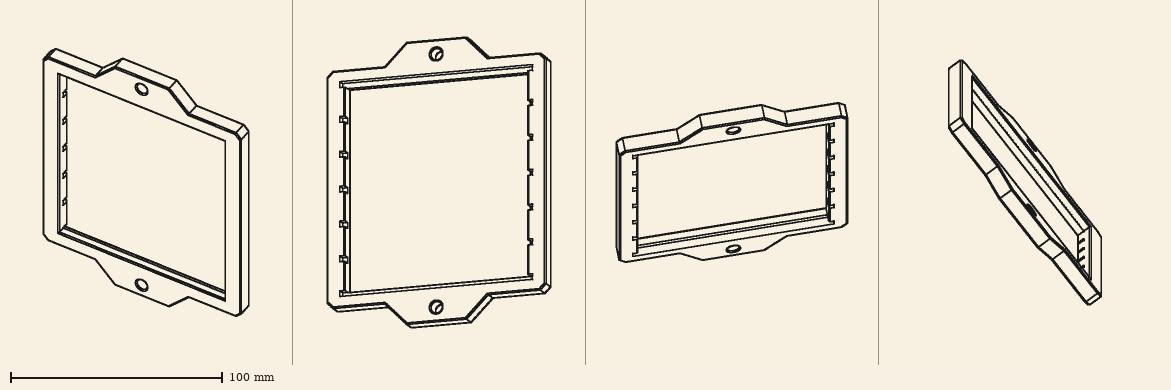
import cadquery as cq

FRAME_WIDTH = 110.0
TOTAL_HEIGHT = 138.0
THICKNESS = 8.0
CORNER_CUT = 2.93
EDGE_CHAMFER = 0.62

TAB_HEIGHT = 11.0
TAB_TIP_WIDTH = 30.0
TAB_ROOT_WIDTH = TAB_TIP_WIDTH + 2 * TAB_HEIGHT
FRAME_HEIGHT = TOTAL_HEIGHT - 2 * TAB_HEIGHT

SIDE_RAIL = 9.1
END_RAIL = 8.1
OPENING_WIDTH = FRAME_WIDTH - 2 * SIDE_RAIL
OPENING_HEIGHT = FRAME_HEIGHT - 2 * END_RAIL

HOLE_DIAMETER = 5.6
HOLE_HEIGHT = 61.9

GROOVE_COUNT = 7
GROOVE_PITCH = 17.05
GROOVE_HEIGHT = 2.8
GROOVE_DEPTH = THICKNESS / 2
GROOVE_END_LENGTH = 2.5
GROOVE_LENGTH = OPENING_WIDTH + 2 * GROOVE_END_LENGTH


def mirrored_outline(quarter):
    """Complete the upper right quarter of an outline by mirroring it in X and Z."""
    upper = quarter + [(-x, z) for x, z in reversed(quarter)]
    return upper + [(-x, -z) for x, z in upper]


def make_plate():
    half_width = FRAME_WIDTH / 2
    half_height = FRAME_HEIGHT / 2
    quarter = [
        (half_width, half_height - CORNER_CUT),
        (half_width - CORNER_CUT, half_height),
        (TAB_ROOT_WIDTH / 2, half_height),
        (TAB_TIP_WIDTH / 2, TOTAL_HEIGHT / 2),
    ]
    plate = cq.Workplane("XZ").polyline(mirrored_outline(quarter)).close()
    return plate.extrude(THICKNESS / 2, both=True)


def make_opening():
    return cq.Workplane("XY").box(OPENING_WIDTH, THICKNESS, OPENING_HEIGHT)


def make_screw_holes():
    centres = [(0, HOLE_HEIGHT), (0, -HOLE_HEIGHT)]
    holes = cq.Workplane("XZ").pushPoints(centres).circle(HOLE_DIAMETER / 2)
    return holes.extrude(THICKNESS / 2, both=True)


def make_slat_grooves():
    centre_y = (THICKNESS - GROOVE_DEPTH) / 2
    grooves = cq.Workplane("XZ", origin=(0, centre_y, 0)).rarray(1, GROOVE_PITCH, 1, GROOVE_COUNT)
    return grooves.box(GROOVE_LENGTH, GROOVE_HEIGHT, GROOVE_DEPTH)


frame = make_plate().cut(make_opening()).cut(make_screw_holes())
frame = frame.faces("<Y or >Y").edges().chamfer(EDGE_CHAMFER)
result = frame.cut(make_slat_grooves())